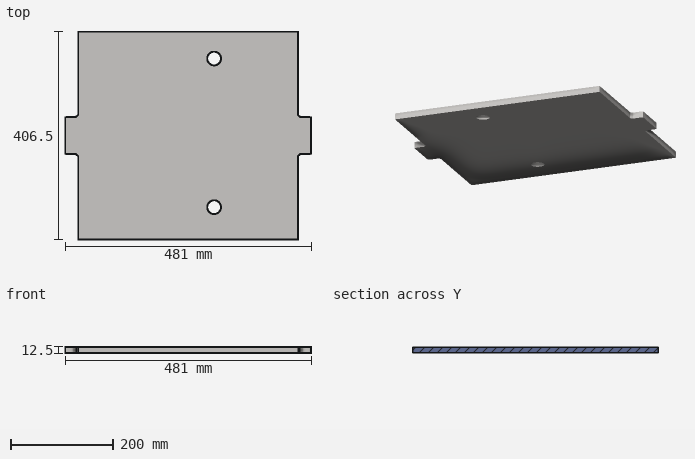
import cadquery as cq

overall_length = 481.0
plate_length = 430.0
plate_width = 406.5
thickness = 12.5
tab_width = 73.0

root_bevel = 4.0
tip_bevel_length = 4.0
tip_bevel_depth = 1.0

hole_diameter = 26.5
hole_x = 51.0
upper_hole_y = 150.5
lower_hole_y = -140.0

tip_x = overall_length / 2
plate_end_x = plate_length / 2
tab_side_y = tab_width / 2

quarter_outline = [
    (0, 0),
    (tip_x, 0),
    (tip_x, tab_side_y - tip_bevel_depth),
    (tip_x - tip_bevel_length, tab_side_y),
    (plate_end_x + root_bevel, tab_side_y),
    (plate_end_x, tab_side_y + root_bevel),
    (plate_end_x, plate_width / 2),
    (0, plate_width / 2),
]
quarter = cq.Workplane("XY").polyline(quarter_outline).close().extrude(thickness / 2, both=True)

half = quarter.union(quarter.mirror("XZ"))
blank = half.union(half.mirror("YZ")).clean()

result = (
    blank.faces(">Z")
    .workplane(origin=(0, 0, 0))
    .pushPoints([(hole_x, upper_hole_y), (hole_x, lower_hole_y)])
    .hole(hole_diameter)
)